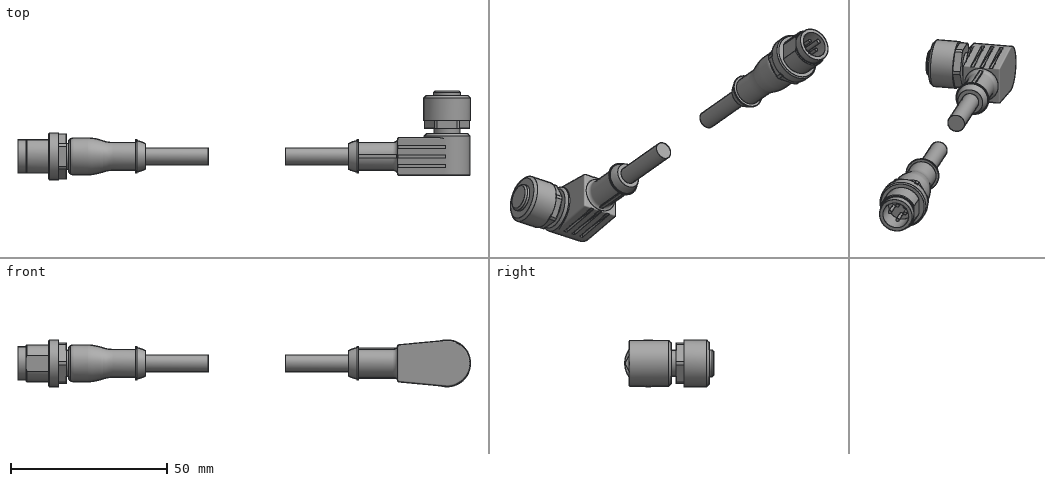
import cadquery as cq
import math


total_length = 144.7
cable_radius = 2.7
cable_length = 20.1
grip_radius = 4.5
relief_length = 3.2
flange_radius = 5.4
flange_thickness = 0.5
dome_base_radius = 5.0
dome_tip_radius = 4.0
dome_bulge = 0.1
neck_radius = 4.2
collar_radius = 7.5
hex_flat_distance = 6.5
hex_corner_radius = 7.2
hex_length = 2.5

tip_radius = 5.4
tip_length = 2.6
thread_radius = 6.0
thread_chamfer = 0.3
thread_flat_distance = tip_radius
collar_start = 9.7
collar_length = 3.3
collar_chamfer = 0.5
plug_grip_start = 16.2
plug_grip_radius = 6.0
plug_grip_end_radius = 5.0
plug_grip_chamfer = 0.6
plug_grip_round_end = 18.0
plug_taper_start = 22.5
plug_cone_start = 26.3
plug_cone_end = 27.2
plug_taper_end = 30.2
plug_relief_start = 37.6
bore_radius = 4.2
bore_depth = 8.0
pin_radius = 0.5
pin_circle_radius = 2.5
pin_length = 5.5
pin_count = 4
key_radius = 0.7
key_circle_radius = 3.9
key_recess = 1.5
key_angle = 45.0

relief_end_x = 108.8
socket_grip_flare = 1.5
rib_width = 1.2
rib_top = 4.9
housing_start = 121.4
housing_half_height = 6.0
housing_half_width = 6.1
housing_round_radius = 7.4
housing_edge_fillet = 0.5
shoulder_end = 7.4
shoulder_chamfer = 0.9
groove_end = 136.7
groove_width = 1.0
groove_pitch = 3.0
groove_start_depth = 0.1
socket_hex_start = 9.0
socket_collar_end = 19.5
socket_collar_chamfer = 0.9
socket_tip_end = 21.0
socket_tip_radius = 4.3
socket_tip_chamfer = 0.6

mating_axis_x = total_length - collar_radius
hex_end = collar_start + collar_length + hex_length
plug_cable_end = plug_relief_start + relief_length + cable_length
socket_relief_start = relief_end_x - relief_length
socket_cable_start = socket_relief_start - cable_length


def x_cylinder(start, end, radius):
    """Cylinder on the X axis between two X positions."""
    return cq.Workplane("YZ", origin=(start, 0, 0)).circle(radius).extrude(end - start)


def y_cylinder(start, end, radius):
    """Cylinder on the socket's mating axis between two Y positions."""
    plane = cq.Plane(origin=(mating_axis_x, start, 0), xDir=(1, 0, 0), normal=(0, 1, 0))
    return cq.Workplane(plane).circle(radius).extrude(end - start)


def revolve_about_x(profile):
    return profile.close().revolve(360, (0, 0, 0), (1, 0, 0))


def strain_relief():
    """Flange at x = 0 with a dome behind it, narrowing towards +X."""
    mid_x = (flange_thickness + relief_length) / 2
    mid_radius = (dome_base_radius + dome_tip_radius) / 2 + dome_bulge
    return revolve_about_x(
        cq.Workplane("XY")
        .lineTo(0, flange_radius)
        .lineTo(flange_thickness, flange_radius)
        .lineTo(flange_thickness, dome_base_radius)
        .threePointArc((mid_x, mid_radius), (relief_length, dome_tip_radius))
        .lineTo(relief_length, 0)
    )


def turned_hexagon(plane):
    """Hexagon with turned corners, two of them on the plane's local X direction."""
    sharp_diameter = 2 * hex_flat_distance / math.cos(math.pi / 6)
    hexagon = cq.Workplane(plane).polygon(6, sharp_diameter).extrude(hex_length)
    return hexagon.intersect(cq.Workplane(plane).circle(hex_corner_radius).extrude(hex_length))



def plug_thread():
    """Threaded sleeve with a flat on each side and a plain tip."""
    sleeve = x_cylinder(tip_length, collar_start, thread_radius).faces("<X").chamfer(thread_chamfer)
    flats = cq.Workplane("XY").box(4 * collar_start, 2 * thread_flat_distance, 4 * thread_radius)
    return sleeve.intersect(flats).union(x_cylinder(0, tip_length, tip_radius))


def plug_nut():
    collar_end = collar_start + collar_length
    collar = x_cylinder(collar_start, collar_end, collar_radius).faces("<X").chamfer(collar_chamfer)
    return collar.union(turned_hexagon(cq.Plane.YZ(origin=(collar_end, 0, 0))))


def plug_grip():
    """Grip that widens from the cable side in an arc, a short cone and an arc, with a rounded end."""
    chamfer_end = plug_grip_start + plug_grip_chamfer
    thin_arc_length = plug_taper_end - plug_cone_end
    cone_length = plug_cone_end - plug_cone_start
    thick_arc_length = plug_cone_start - plug_taper_start
    rise_length = thin_arc_length + 2 * cone_length + thick_arc_length
    arc_slope = (plug_grip_radius - grip_radius) / rise_length
    cone_end_radius = grip_radius + arc_slope * thin_arc_length
    cone_start_radius = cone_end_radius + 2 * arc_slope * cone_length
    return revolve_about_x(
        cq.Workplane("XY")
        .moveTo(plug_relief_start, 0)
        .lineTo(plug_relief_start, grip_radius)
        .lineTo(plug_taper_end, grip_radius)
        .tangentArcPoint((plug_cone_end, cone_end_radius), relative=False)
        .lineTo(plug_cone_start, cone_start_radius)
        .tangentArcPoint((plug_taper_start, plug_grip_radius), relative=False)
        .lineTo(plug_grip_round_end, plug_grip_radius)
        .tangentArcPoint((chamfer_end, plug_grip_end_radius + plug_grip_chamfer), relative=False)
        .lineTo(plug_grip_start, plug_grip_end_radius)
        .lineTo(plug_grip_start, 0)
    )


def plug_pins():
    return (
        cq.Workplane("YZ", origin=(bore_depth - pin_length, 0, 0))
        .polarArray(pin_circle_radius, 0, 360, pin_count)
        .circle(pin_radius)
        .extrude(pin_length)
    )


def plug_key():
    """Round coding key along the bore wall, partly sunk into the sleeve."""
    key = x_cylinder(key_recess, bore_depth, key_radius).translate((0, 0, key_circle_radius))
    return key.rotate((0, 0, 0), (1, 0, 0), key_angle)


def make_plug():
    body = plug_thread().union(plug_nut())
    body = body.union(x_cylinder(hex_end, plug_grip_start, neck_radius))
    body = body.union(plug_grip())
    body = body.union(strain_relief().translate((plug_relief_start, 0, 0)))
    body = body.union(x_cylinder(plug_relief_start, plug_cable_end, cable_radius))
    body = body.cut(x_cylinder(0, bore_depth, bore_radius))
    return body.union(plug_pins()).union(plug_key())



def housing_taper_slope():
    """Angle of the line from the cable-side corner that is tangent to the round end."""
    run = mating_axis_x - housing_start
    corner_distance = math.hypot(run, housing_half_height)
    return math.asin(housing_round_radius / corner_distance) - math.atan2(housing_half_height, run)


def socket_housing():
    """Teardrop housing whose straight sides run tangent into the round end."""
    slope = housing_taper_slope()
    tangent_x = mating_axis_x - housing_round_radius * math.sin(slope)
    tangent_z = housing_round_radius * math.cos(slope)
    housing = (
        cq.Workplane("XZ")
        .moveTo(housing_start, -housing_half_height)
        .lineTo(tangent_x, -tangent_z)
        .threePointArc((mating_axis_x + housing_round_radius, 0), (tangent_x, tangent_z))
        .lineTo(housing_start, housing_half_height)
        .close()
        .extrude(housing_half_width, both=True)
    )
    return housing.edges("<X or <Y or >Y").fillet(housing_edge_fillet)


def finger_grooves():
    """Three level-floored grooves cut into the upper and the lower tapered side."""
    length = groove_end - housing_start
    floor_z = housing_half_height - groove_start_depth
    height = housing_round_radius - floor_z
    middle_x = housing_start + length / 2
    middle_z = floor_z + height / 2
    places = [
        (middle_x, row * groove_pitch, side * middle_z)
        for row in (-1, 0, 1)
        for side in (-1, 1)
    ]
    return cq.Workplane("XY").pushPoints(places).box(length, groove_width, height)


def socket_grip():
    """Slim grip that flares into the housing, with a rib above and below."""
    flare_start = housing_start - socket_grip_flare
    flare_radius = housing_half_height - housing_edge_fillet
    grip = revolve_about_x(
        cq.Workplane("XY")
        .moveTo(relief_end_x, 0)
        .lineTo(relief_end_x, grip_radius)
        .lineTo(flare_start, grip_radius)
        .tangentArcPoint((housing_start, flare_radius), relative=False)
        .lineTo(housing_start, 0)
    )
    rib_length = housing_start - relief_end_x
    ribs = cq.Workplane("XY").box(rib_length, rib_width, 2 * rib_top, centered=(False, True, True))
    return grip.union(ribs.translate((relief_end_x, 0, 0)))


def socket_mating_end():
    """Shoulder, neck, hexagon, collar and tip stacked along the mating axis."""
    collar_begin = socket_hex_start + hex_length
    hex_plane = cq.Plane(origin=(mating_axis_x, socket_hex_start, 0), xDir=(1, 0, 0), normal=(0, 1, 0))
    shoulder = y_cylinder(0, shoulder_end, housing_round_radius).faces(">Y").chamfer(shoulder_chamfer)
    collar = y_cylinder(collar_begin, socket_collar_end, collar_radius)
    collar = collar.faces(">Y").chamfer(socket_collar_chamfer)
    tip = y_cylinder(socket_collar_end, socket_tip_end, socket_tip_radius)
    tip = tip.faces(">Y").chamfer(socket_tip_chamfer)
    mating_end = shoulder.union(y_cylinder(shoulder_end, socket_hex_start, neck_radius))
    return mating_end.union(turned_hexagon(hex_plane)).union(collar).union(tip)


def make_socket():
    relief = strain_relief().mirror("YZ").translate((relief_end_x, 0, 0))
    body = socket_housing().union(socket_mating_end()).cut(finger_grooves())
    body = body.union(socket_grip()).union(relief)
    return body.union(x_cylinder(socket_cable_start, socket_relief_start, cable_radius))


plug = make_plug()
socket = make_socket()
result = cq.Compound.makeCompound([plug.val(), socket.val()])